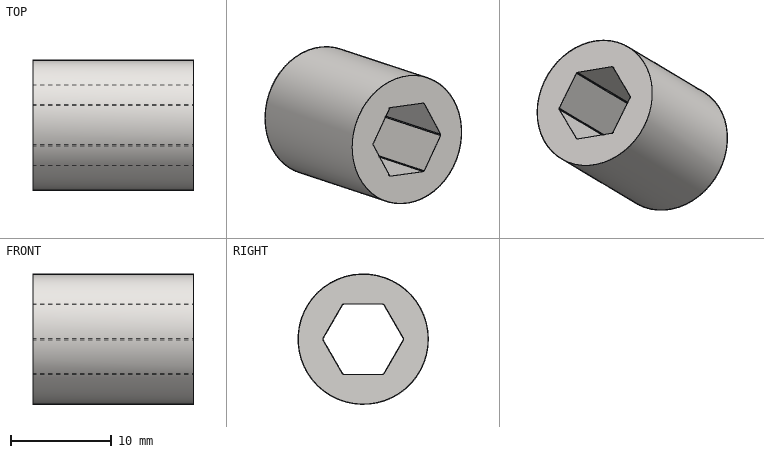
import cadquery as cq
import math

length = 16.0
outer_diameter = 13.0

across_flats = 7.0
corner_bore_diameter = 8.0

across_corners = across_flats / math.cos(math.pi / 6)

sleeve = cq.Workplane("YZ").circle(outer_diameter / 2).extrude(length)

sharp_hexagon = cq.Workplane("YZ").polygon(6, across_corners).extrude(length)
corner_limit = cq.Workplane("YZ").circle(corner_bore_diameter / 2).extrude(length)
hex_bore = sharp_hexagon.intersect(corner_limit)

result = sleeve.cut(hex_bore)